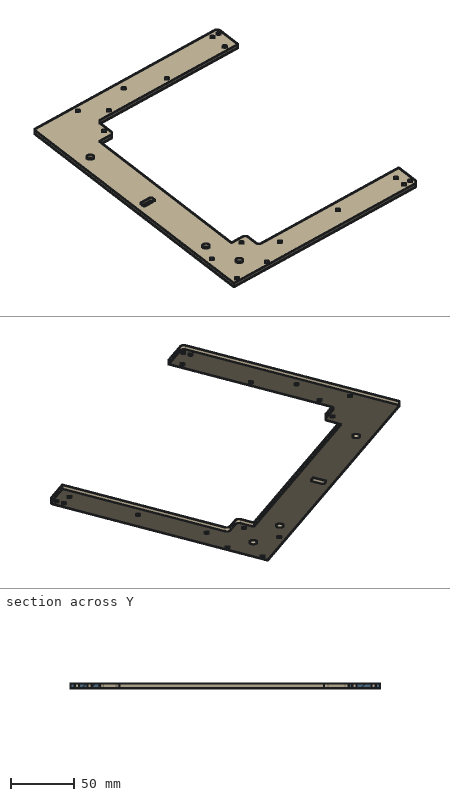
import cadquery as cq

WIDTH = 244.5
DEPTH = 190.0
THICKNESS = 4.0

LEFT_ARM_WIDTH = 25.0
RIGHT_ARM_WIDTH = 23.2
LEFT_STEP_X = 44.3
RIGHT_STEP_X = 205.6
STEP_Y = 45.0
BRIDGE_DEPTH = 30.3
CORNER_RADIUS = 3.0
SMALL_CORNER_RADIUS = 1.0

SCREW_DIAMETER = 3.2
END_HOLE_INSET = 5.1
END_HOLE_Y = 186.5
ARM_HOLE_TOP_Y = 180.2
ARM_HOLE_PITCH = 60.0
ARM_HOLE_COUNT = 3
LEFT_ARM_HOLE_X = 20.3
RIGHT_ARM_HOLE_X = 229.3
LEFT_SINGLE_HOLE = (7.5, 86.5)
LEFT_PAIR_X = (5.0, 37.0)
LEFT_PAIR_Y = 41.3

PATTERN_CENTER = (226.0, 21.3)
PATTERN_PITCH = 30.8

LARGE_DIAMETER = 5.9
BRIDGE_HOLE_Y = 12.5
BRIDGE_HOLE_SPACING = 141.3
SLOT_CENTER = (125.0, 12.0)
SLOT_WIDTH = 5.1
SLOT_LENGTH = 11.5
SLOT_CORNER_RADIUS = 1.0


def make_plate():
    """U-shaped plate with stepped inner corners."""
    right_arm_x = WIDTH - RIGHT_ARM_WIDTH
    outline = [
        (0, 0),
        (WIDTH, 0),
        (WIDTH, DEPTH),
        (right_arm_x, DEPTH),
        (right_arm_x, STEP_Y),
        (RIGHT_STEP_X, STEP_Y),
        (RIGHT_STEP_X, BRIDGE_DEPTH),
        (LEFT_STEP_X, BRIDGE_DEPTH),
        (LEFT_STEP_X, STEP_Y),
        (LEFT_ARM_WIDTH, STEP_Y),
        (LEFT_ARM_WIDTH, DEPTH),
        (0, DEPTH),
    ]
    plate = cq.Workplane("XY").polyline(outline).close().extrude(THICKNESS)

    rounded_corners = [
        (0, DEPTH),
        (WIDTH, DEPTH),
        (LEFT_ARM_WIDTH, STEP_Y),
        (LEFT_STEP_X, STEP_Y),
        (RIGHT_STEP_X, STEP_Y),
        (right_arm_x, STEP_Y),
    ]
    plate = round_corners(plate, rounded_corners, CORNER_RADIUS)
    return round_corners(plate, [(0, 0)], SMALL_CORNER_RADIUS)


def round_corners(plate, corners, radius):
    """Fillet the upright edges at the given corners."""
    for x, y in corners:
        edge = cq.selectors.NearestToPointSelector((x, y, THICKNESS / 2))
        plate = plate.edges("|Z").edges(edge).fillet(radius)
    return plate


def screw_hole_positions():
    """Centres of all the small screw holes."""
    positions = [LEFT_SINGLE_HOLE]
    for x in (END_HOLE_INSET, WIDTH - END_HOLE_INSET):
        positions += [(x, END_HOLE_Y), (x, ARM_HOLE_TOP_Y)]
    for x in (LEFT_ARM_HOLE_X, RIGHT_ARM_HOLE_X):
        for row in range(ARM_HOLE_COUNT):
            positions.append((x, ARM_HOLE_TOP_Y - row * ARM_HOLE_PITCH))
    for x in LEFT_PAIR_X:
        positions.append((x, LEFT_PAIR_Y))
    center_x, center_y = PATTERN_CENTER
    half_pitch = PATTERN_PITCH / 2
    for dx in (-half_pitch, half_pitch):
        for dy in (-half_pitch, half_pitch):
            positions.append((center_x + dx, center_y + dy))
    return positions


def large_hole_positions():
    """Centres of the pattern's central hole and the two bridge holes."""
    half_spacing = BRIDGE_HOLE_SPACING / 2
    return [
        PATTERN_CENTER,
        (SLOT_CENTER[0] - half_spacing, BRIDGE_HOLE_Y),
        (SLOT_CENTER[0] + half_spacing, BRIDGE_HOLE_Y),
    ]


def make_round_cutters(positions, diameter):
    """Cylinders through the plate thickness."""
    return cq.Workplane("XY").pushPoints(positions).circle(diameter / 2).extrude(THICKNESS)


def make_slot_cutter():
    """Rectangular slot with rounded corners."""
    slot = cq.Workplane("XY").center(*SLOT_CENTER).rect(SLOT_WIDTH, SLOT_LENGTH).extrude(THICKNESS)
    return slot.edges("|Z").fillet(SLOT_CORNER_RADIUS)


result = (
    make_plate()
    .cut(make_round_cutters(screw_hole_positions(), SCREW_DIAMETER))
    .cut(make_round_cutters(large_hole_positions(), LARGE_DIAMETER))
    .cut(make_slot_cutter())
)